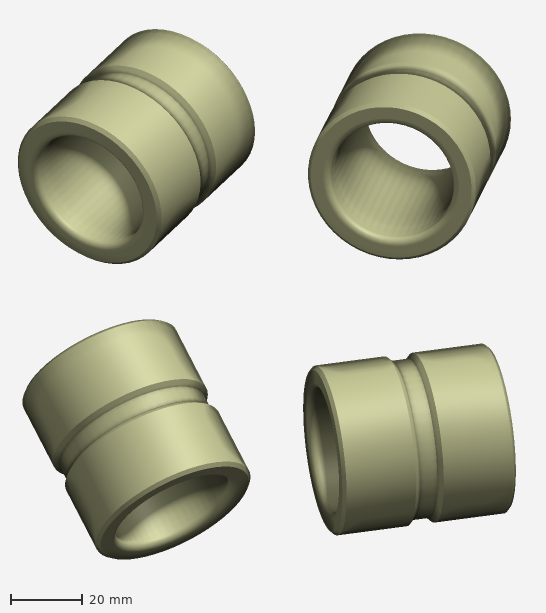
import cadquery as cq

length = 50.0
outer_diameter = 48.0
bore_diameter = 35.0
end_chamfer = 1.0
bore_rounding = 2.0

groove_floor_width = 5.0
groove_depth = 1.5

outer_radius = outer_diameter / 2
bore_radius = bore_diameter / 2


def make_sleeve():
    """Hollow cylinder with chamfered outer rims and rounded bore mouths."""
    body = cq.Workplane("XZ").circle(outer_radius).extrude(length / 2, both=True)
    body = body.faces("<Y or >Y").chamfer(end_chamfer)
    bore = cq.Workplane("XZ").circle(bore_radius).extrude(length / 2, both=True)
    return body.cut(bore).edges(cq.selectors.RadiusNthSelector(0)).fillet(bore_rounding)


def make_groove_cutter():
    """Ring of trapezoid section that cuts the outer groove."""
    floor_radius = outer_radius - groove_depth
    half_floor = groove_floor_width / 2
    half_mouth = half_floor + groove_depth
    clear_radius = outer_radius + groove_depth
    return (
        cq.Workplane("XY")
        .moveTo(floor_radius, -half_floor)
        .lineTo(outer_radius, -half_mouth)
        .lineTo(clear_radius, -half_mouth)
        .lineTo(clear_radius, half_mouth)
        .lineTo(outer_radius, half_mouth)
        .lineTo(floor_radius, half_floor)
        .close()
        .revolve(360, (0, 0, 0), (0, 1, 0))
    )


result = make_sleeve().cut(make_groove_cutter())